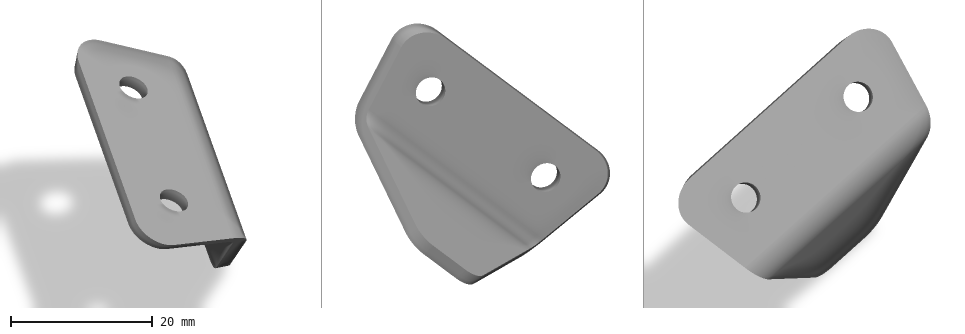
import cadquery as cq
import math

thickness = 2
inner_radius = 2
outer_radius = inner_radius + thickness
flange_rise = math.radians(21.6)
web_height = 16.9
depth = 16.9

bottom_half_width = 5.37
side_angle = math.radians(31)
corner_radius = 4

hole_diameter = 4.3
hole_spacing = 22.05
hole_to_tip = 7.35

along = (-math.cos(flange_rise), math.sin(flange_rise))
normal = (math.sin(flange_rise), math.cos(flange_rise))
bend_center = (-outer_radius, web_height)
flange_length = (depth - outer_radius + inner_radius * normal[0]) / math.cos(flange_rise)


def flange_point(radius, distance):
    """(Y, Z) at a radius from the bend centre, then a distance along the flange."""
    return tuple(c + radius * n + distance * a for c, n, a in zip(bend_center, normal, along))


def bend_middle(radius):
    """(Y, Z) halfway round the bend."""
    angle = (math.pi / 2 - flange_rise) / 2
    return (bend_center[0] + radius * math.cos(angle), bend_center[1] + radius * math.sin(angle))


outer_tip = flange_point(outer_radius, flange_length)
height = outer_tip[1]
width_limit = bottom_half_width + height * math.tan(side_angle)

sheet = (
    cq.Workplane("YZ")
    .moveTo(0, 0)
    .lineTo(0, web_height)
    .threePointArc(bend_middle(outer_radius), flange_point(outer_radius, 0))
    .lineTo(*outer_tip)
    .lineTo(*flange_point(inner_radius, flange_length))
    .lineTo(*flange_point(inner_radius, 0))
    .threePointArc(bend_middle(inner_radius), (-thickness, web_height))
    .lineTo(-thickness, 0)
    .close()
    .extrude(width_limit, both=True)
)

outline = (
    cq.Workplane("XZ")
    .polyline([
        (-bottom_half_width, 0),
        (bottom_half_width, 0),
        (width_limit, height),
        (-width_limit, height),
    ])
    .close()
    .extrude(depth)
)
bracket = sheet.intersect(outline)

foot_corners = bracket.faces("<Z").edges("|Y")
bracket = foot_corners.fillet(corner_radius)
tip_direction = cq.Vector(0, *along)
tip_face = bracket.faces(cq.selectors.DirectionMinMaxSelector(tip_direction))
bracket = tip_face.edges("<X or >X").fillet(corner_radius)

hole_y, hole_z = flange_point(outer_radius, flange_length - hole_to_tip)
flange_plane = cq.Plane(origin=(0, hole_y, hole_z), xDir=(1, 0, 0), normal=(0, *normal))
holes = (
    cq.Workplane(flange_plane)
    .pushPoints([(-hole_spacing / 2, 0), (hole_spacing / 2, 0)])
    .circle(hole_diameter / 2)
    .extrude(-thickness)
)
result = bracket.cut(holes)